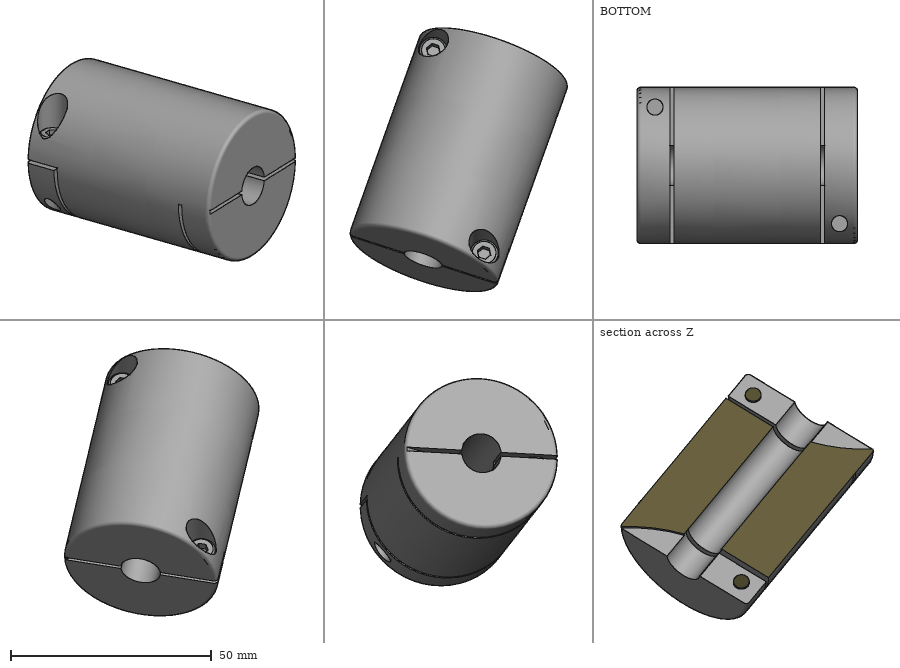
import cadquery as cq
import math

LENGTH = 55.0
OUTER_D = 39.0
BORE_D = 10.0
RIM_FILLET = 1.0
MIDDLE_LENGTH = 16.8
OUTER_R = OUTER_D / 2
HUB_LENGTH = (LENGTH - MIDDLE_LENGTH) / 2
END_X = -LENGTH / 2

HUB_ANGLES = (0, 180)

SLIT_WIDTH = 1.0
SLIT_DEPTH = 9.25
SAW_RADIUS = 42.9
RUNOUT_Y = 19.1
SLIT_FLOOR_X = END_X + SLIT_DEPTH

SCREW_FROM_END = 4.5
SCREW_OFFSET = 14.5
SEAT_Z = 3.0
SCREW_X = END_X + SCREW_FROM_END

SHANK_D = 4.0
SHANK_LENGTH = 12.0
CLEARANCE_D = 4.5
HEAD_D = 7.0
HEAD_HEIGHT = SHANK_D
HEAD_CHAMFER = 0.55
COUNTERBORE_D = 7.5
SOCKET_FLATS = 3.0
SOCKET_DEPTH = HEAD_HEIGHT / 2


def turn_about_z(part, angle):
    """Turn a part about Z; half a turn takes the -X hub's parts to the +X hub."""
    return part.rotate((0, 0, 0), (0, 0, 1), angle)


def cylinder_along_x(diameter, start_x, length):
    """Cylinder on the coupling axis, with its seam line at the top, clear of the slits."""
    end_x = start_x + length
    return cq.Workplane("ZY", origin=(end_x, 0, 0)).circle(diameter / 2).extrude(length)


def cylinder_on_screw_axis(diameter, bottom_z, top_z):
    """Upright cylinder on the clamp screw axis of the -X hub."""
    base = cq.Workplane("XY", origin=(SCREW_X, -SCREW_OFFSET, bottom_z))
    return base.circle(diameter / 2).extrude(top_z - bottom_z)


def make_flat_slit():
    """Slit across the hub, open at -Y; past the bore its floor follows the saw up to the rim at +Y."""
    return (
        cq.Workplane("XY")
        .moveTo(END_X, -OUTER_R)
        .lineTo(SLIT_FLOOR_X, -OUTER_R)
        .lineTo(SLIT_FLOOR_X, -BORE_D / 2)
        .radiusArc((END_X, RUNOUT_Y), -SAW_RADIUS)
        .close()
        .extrude(SLIT_WIDTH / 2, both=True)
    )


def make_cross_slit():
    """Slit through the lower half of the hub, at the floor of the flat slit."""
    corner = cq.Workplane("XY", origin=(SLIT_FLOOR_X - SLIT_WIDTH, 0, -OUTER_R))
    return corner.box(SLIT_WIDTH, OUTER_D, OUTER_R, centered=(False, True, False))


def make_screw_hole():
    """Counterbore and clearance hole above the flat slit, hole for the thread below it."""
    counterbore = cylinder_on_screw_axis(COUNTERBORE_D, SEAT_Z, OUTER_R)
    clearance_hole = cylinder_on_screw_axis(CLEARANCE_D, 0, SEAT_Z)
    thread_hole = cylinder_on_screw_axis(SHANK_D, -OUTER_R, 0)
    return counterbore.union(clearance_hole).union(thread_hole)


def make_hub():
    """Clamping hub at the -X end of the body."""
    hub = cylinder_along_x(OUTER_D, END_X, HUB_LENGTH).faces("<X").edges().fillet(RIM_FILLET)
    hub = hub.cut(cylinder_along_x(BORE_D, END_X, HUB_LENGTH))
    return hub.cut(make_flat_slit()).cut(make_cross_slit()).cut(make_screw_hole())


def make_body():
    """One-piece coupling body; the faces of its hubs and middle stay separate where they meet."""
    middle_x = END_X + HUB_LENGTH
    middle = cylinder_along_x(OUTER_D, middle_x, MIDDLE_LENGTH)
    middle = middle.cut(cylinder_along_x(BORE_D, middle_x, MIDDLE_LENGTH))
    body = middle
    for angle in HUB_ANGLES:
        body = body.union(turn_about_z(make_hub(), angle), clean=False)
    return body


def make_screw():
    """Socket head cap screw of the -X hub."""
    head_top = SEAT_Z + HEAD_HEIGHT
    head = cylinder_on_screw_axis(HEAD_D, SEAT_Z, head_top).faces(">Z").edges().chamfer(HEAD_CHAMFER)
    shank = cylinder_on_screw_axis(SHANK_D, SEAT_Z - SHANK_LENGTH, SEAT_Z)
    socket_corners_d = SOCKET_FLATS / math.cos(math.pi / 6)
    socket = (
        cq.Workplane("XY", origin=(SCREW_X, -SCREW_OFFSET, head_top - SOCKET_DEPTH))
        .transformed(rotate=(0, 0, 90))
        .polygon(6, socket_corners_d)
        .extrude(SOCKET_DEPTH)
    )
    return head.union(shank).cut(socket)


coupling_body = make_body()

screws = []
for angle in HUB_ANGLES:
    screws.append(turn_about_z(make_screw(), angle).val())

result = cq.Compound.makeCompound([coupling_body.val(), *screws])